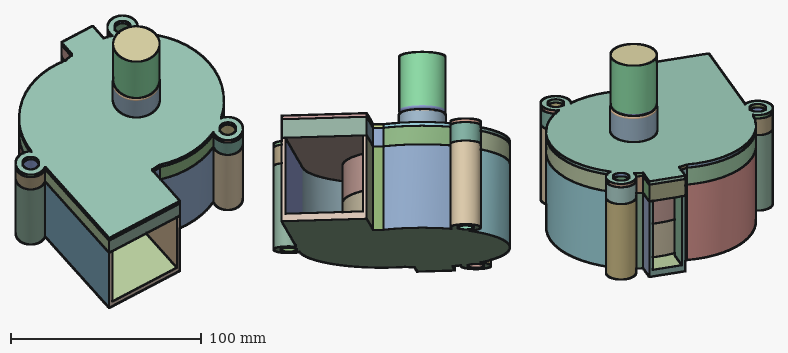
import cadquery as cq

assembly_turn = -22.6

wall = 2.0
floor_thickness = 4.0
casing_height = 45.0
plate_thickness = 10.0
cover_thickness = 2.0

fan_chamber_radius = 46.0
scroll_radius = 44.0
scroll_offset = 21.3

inlet_reach = 55.1
inlet_width = 20.0
outlet_reach = 70.0
outlet_width = 45.1

boss_diameter = 16.0
bolt_hole_diameter = 8.7
boss_centres = [(-45.5, 22.4), (43.2, 28.5), (4.3, -70.2)]

rotor_diameter = 84.0
rotor_half_height = 20.0
rotor_half_count = 2

gearbox_diameter = 25.0
gearbox_height = 15.1
gearbox_edge_radius = 1.1
motor_can_diameter = 24.4
motor_can_height = 30.7
motor_can_edge_radius = 1.7

plate_base = casing_height
cover_base = plate_base + plate_thickness
motor_base = cover_base + cover_thickness


def duct(x_start, x_end, y_low, y_high, base, height):
    """Straight rectangular block between two X and two Y positions."""
    return (
        cq.Workplane("XY", origin=(0, 0, base))
        .moveTo(x_start, y_low)
        .lineTo(x_end, y_low)
        .lineTo(x_end, y_high)
        .lineTo(x_start, y_high)
        .close()
        .extrude(height)
    )


def blower_shape(inset, base, height):
    """Fan circle, scroll circle and both ducts in one block, with the side walls moved in by `inset`."""
    level = cq.Workplane("XY", origin=(0, 0, base))
    fan_circle = level.circle(fan_chamber_radius - inset).extrude(height)
    scroll_circle = level.center(0, -scroll_offset).circle(scroll_radius - inset).extrude(height)

    inlet_side = inlet_width / 2 - inset
    inlet = duct(-inlet_reach, 0, -inlet_side, inlet_side, base, height)

    outlet_outer_side = -scroll_offset - scroll_radius
    outlet_inner_side = outlet_outer_side + outlet_width
    outlet = duct(0, outlet_reach, outlet_outer_side + inset, outlet_inner_side - inset, base, height)

    return fan_circle.union(scroll_circle).union(inlet).union(outlet)


def boss_cylinders(diameter, base, height):
    """One cylinder at every bolt position."""
    level = cq.Workplane("XY", origin=(0, 0, base))
    return level.pushPoints(boss_centres).circle(diameter / 2).extrude(height)


def layer(base, height):
    """Solid slice of the blower outline with its bolt bosses, before the bolt holes."""
    return blower_shape(0, base, height).union(boss_cylinders(boss_diameter, base, height))


def drilled(body, base, height):
    """Body with the bolt holes cut through it."""
    return body.cut(boss_cylinders(bolt_hole_diameter, base, height))


def turned(body):
    """Body turned about the fan axis into its final direction."""
    return body.rotate((0, 0, 0), (0, 0, 1), assembly_turn)


def make_casing():
    """Open-topped tray whose cavity runs out through the inlet and outlet mouths."""
    cavity = blower_shape(wall, floor_thickness, casing_height - floor_thickness)
    body = layer(0, casing_height).cut(cavity)
    return turned(drilled(body, 0, casing_height))


def make_flat_layer(base, thickness):
    """Solid layer with the same outline and bolt holes as the casing."""
    return turned(drilled(layer(base, thickness), base, thickness))


def make_rotor_half(index):
    """One disc of the rotor; the halves stack up from the casing floor."""
    base = floor_thickness + index * rotor_half_height
    return cq.Workplane("XY", origin=(0, 0, base)).circle(rotor_diameter / 2).extrude(rotor_half_height)


def make_gear_motor():
    """Gearbox and motor can in one body; their rounded edges form the groove between them."""
    gearbox = (
        cq.Workplane("XY", origin=(0, 0, motor_base))
        .circle(gearbox_diameter / 2)
        .extrude(gearbox_height)
        .edges()
        .fillet(gearbox_edge_radius)
    )
    can = (
        cq.Workplane("XY", origin=(0, 0, motor_base + gearbox_height))
        .circle(motor_can_diameter / 2)
        .extrude(motor_can_height)
        .edges("<Z")
        .fillet(motor_can_edge_radius)
    )
    return gearbox.union(can)


casing = make_casing()
plate = make_flat_layer(plate_base, plate_thickness)
cover = make_flat_layer(cover_base, cover_thickness)
rotor_halves = [make_rotor_half(index) for index in range(rotor_half_count)]
gear_motor = make_gear_motor()

result = cq.Compound.makeCompound([
    casing.val(),
    plate.val(),
    cover.val(),
    *[half.val() for half in rotor_halves],
    gear_motor.val(),
])